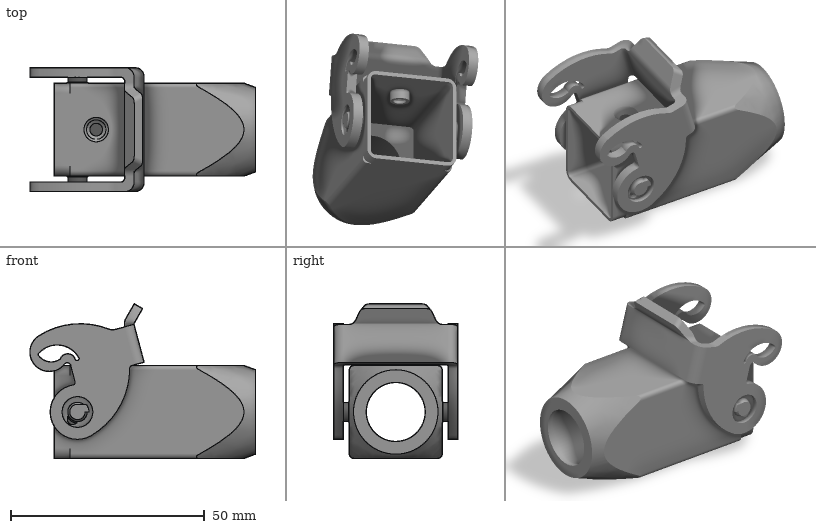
import cadquery as cq
import math


hood_size = 24.0
hood_length = 51.95
half = hood_size / 2
edge_radius = 1.2
mouth_length = 4.0
mouth_corner_radius = 2.5
wall = 1.0
cavity_half = half - wall
cavity_depth = 34.95
cavity_corner_radius = 1.15
cable_hole_radius = 7.6
nose_end_radius = 10.9
nose_angle = math.radians(20)
nose_start_radius = 17.5

screw_x = 10.85
screw_boss_radius = 2.5
screw_boss_drop = 2.5
screw_hole_radius = 1.65
countersink_radius = 3.15

pivot = (6.0, 0.0)
pivot_radius = 2.5
pivot_tip_radius = 2.0
collar_radius = 2.85
collar_height = 0.25
recess_radius = 3.95
recess_depth = 1.3
key_radius = 3.0
key_height = 1.9
clearance_offset = (-1.3, -1.9)
clearance_radius = 1.35

lever_width = 32.0
plate = 2.5
lever_half = lever_width / 2
lever_inner = lever_half - plate
lean = math.radians(15)
along = (math.cos(lean), math.sin(lean))
up = (-math.sin(lean), math.cos(lean))
cross_top = (18.2, 21.95)
cross_height = 10.15
inner_bend_radius = 1.1
outer_bend_radius = 2.45
arm_overlap = 1.75
eye_radius = 7.05
sweep_radius = 20.0
back_x = 19.45
tip_center = (-1.3, 15.45)
tip_radius = 5.0
top_center_x = 6.75
saddle_radius = 3.05
throat_point = (4.8, 10.1)
throat_radius = 0.95
throat_foot_radius = 0.7
back_ledge = 0.75

slot_left_top = (-3.9, 15.2)
slot_crest = (0.65, 17.25)
slot_end_top = (6.4, 13.85)
slot_end = (6.1, 13.35)
slot_end_bottom = (5.5, 13.45)
slot_hump = (3.45, 15.05)
slot_belly_start = (1.6, 13.7)
slot_belly = (-0.7, 12.95)
slot_left_bottom = (-3.9, 14.45)
slot_left = (-4.1, 14.85)

tab_lean = math.radians(30)
tab_dir = (math.sin(tab_lean), math.cos(tab_lean))
tab_out = (math.cos(tab_lean), -math.sin(tab_lean))
tab_bend_radius = 2.85
tab_length = 4.35
tab_foot_half = 10.9
tab_flank_lean = math.radians(30)
tab_foot_radius = 2.05
tab_corner_radius = 1.5


def shift(point, direction, distance):
    """Point moved by a distance along a unit direction."""
    return (point[0] + distance * direction[0], point[1] + distance * direction[1])


def unit(start, end):
    """Unit direction from start to end."""
    length = math.dist(start, end)
    return ((end[0] - start[0]) / length, (end[1] - start[1]) / length)


def first_at_distance(start, direction, center, distance):
    """First point past start along direction, lying at the distance from center."""
    offset = (start[0] - center[0], start[1] - center[1])
    b = offset[0] * direction[0] + offset[1] * direction[1]
    c = offset[0] ** 2 + offset[1] ** 2 - distance ** 2
    root = math.sqrt(b ** 2 - c)
    return shift(start, direction, min(t for t in (-b - root, -b + root) if t > 0))


def reverse(direction):
    """Opposite direction."""
    return (-direction[0], -direction[1])


def arc_middle(center, radius, start, end):
    """Middle of the shorter arc from start to end around center."""
    halfway = ((start[0] + end[0]) / 2, (start[1] + end[1]) / 2)
    return shift(center, unit(center, halfway), radius)


def x_box(x_start, length, half_size, corner):
    """Square bar along X with rounded long edges."""
    bar = cq.Workplane("YZ", origin=(x_start, 0, 0)).rect(2 * half_size, 2 * half_size).extrude(length)
    return bar.edges("|X").fillet(corner)


def make_hood():
    """Hollow square hood with a conical nose, a cable hole and a screw boss."""
    hood = x_box(0, mouth_length, half, mouth_corner_radius)
    hood = hood.union(x_box(mouth_length, hood_length - mouth_length, half, edge_radius))

    nose_start_x = hood_length - (nose_start_radius - nose_end_radius) / math.tan(nose_angle)
    envelope = (
        cq.Workplane("XZ")
        .polyline([(0, 0), (0, nose_start_radius), (nose_start_x, nose_start_radius),
                   (hood_length, nose_end_radius), (hood_length, 0)])
        .close()
        .revolve(360, (0, 0, 0), (1, 0, 0))
    )
    hood = hood.intersect(envelope)
    hood = hood.cut(x_box(0, cavity_depth, cavity_half, cavity_corner_radius))
    hood = hood.cut(cq.Workplane("YZ").circle(cable_hole_radius).extrude(hood_length))

    boss_bottom = cavity_half - screw_boss_drop
    boss = cq.Workplane("XY", origin=(screw_x, 0, boss_bottom)).circle(screw_boss_radius)
    hood = hood.union(boss.extrude(half - wall / 2 - boss_bottom))
    sink_depth = countersink_radius - screw_hole_radius
    screw_cut = (
        cq.Workplane("XZ", origin=(screw_x, 0, 0))
        .polyline([(0, 0), (screw_hole_radius, 0), (screw_hole_radius, half - sink_depth),
                   (countersink_radius, half), (0, half)])
        .close()
        .revolve(360, (0, 0, 0), (0, 1, 0))
    )
    return hood.cut(screw_cut)


def side_outline():
    """Closed outline of a lever side plate in the XZ plane."""
    back_reach = sweep_radius - eye_radius
    back_center_x = back_x - sweep_radius
    back_center = (back_center_x, math.sqrt(back_reach ** 2 - (back_center_x - pivot[0]) ** 2))
    back_start = shift(back_center, unit(back_center, pivot), sweep_radius)
    back_end = (back_x, back_center[1])
    cross_bottom = shift(cross_top, up, -cross_height)

    tip_reach = sweep_radius - tip_radius
    top_center = (
        top_center_x,
        tip_center[1] - math.sqrt(tip_reach ** 2 - (top_center_x - tip_center[0]) ** 2),
    )
    saddle_center = first_at_distance(
        shift(cross_top, up, saddle_radius), reverse(along), top_center, sweep_radius + saddle_radius)
    saddle_start = shift(saddle_center, up, -saddle_radius)
    saddle_end = shift(top_center, unit(top_center, saddle_center), sweep_radius)
    tip_start = shift(top_center, unit(top_center, tip_center), sweep_radius)

    throat_center = first_at_distance(
        shift(throat_point, along, -throat_radius), up, tip_center, tip_radius + throat_radius)
    throat_start = shift(tip_center, unit(tip_center, throat_center), tip_radius)
    throat_end = shift(throat_center, along, throat_radius)
    foot_center = first_at_distance(
        shift(throat_point, along, -throat_foot_radius), reverse(up), pivot, eye_radius + throat_foot_radius)
    foot_start = shift(foot_center, along, throat_foot_radius)
    foot_end = shift(pivot, unit(pivot, foot_center), eye_radius)

    return (
        cq.Workplane("XZ")
        .moveTo(*back_start)
        .threePointArc(arc_middle(back_center, sweep_radius, back_start, back_end), back_end)
        .tangentArcPoint(shift(cross_bottom, along, -back_ledge), relative=False)
        .lineTo(*cross_bottom)
        .lineTo(*cross_top)
        .lineTo(*saddle_start)
        .threePointArc(arc_middle(saddle_center, saddle_radius, saddle_start, saddle_end), saddle_end)
        .threePointArc(arc_middle(top_center, sweep_radius, saddle_end, tip_start), tip_start)
        .threePointArc((tip_center[0] - tip_radius, tip_center[1]), throat_start)
        .threePointArc(arc_middle(throat_center, throat_radius, throat_start, throat_end), throat_end)
        .lineTo(*foot_start)
        .threePointArc(arc_middle(foot_center, throat_foot_radius, foot_start, foot_end), foot_end)
        .threePointArc((pivot[0] - eye_radius, pivot[1]), back_start)
        .close()
    )


def slot_outline():
    """Curved spring slot that follows the tip of the lever and curls over the throat."""
    return (
        cq.Workplane("XZ")
        .moveTo(*slot_left_top)
        .threePointArc(slot_crest, slot_end_top)
        .threePointArc(slot_end, slot_end_bottom)
        .threePointArc(slot_hump, slot_belly_start)
        .threePointArc(slot_belly, slot_left_bottom)
        .threePointArc(slot_left, slot_left_top)
        .close()
    )


def pivot_plane(y):
    """Plane facing -Y, centred on the pivot."""
    return cq.Workplane("XZ", origin=(pivot[0], y, pivot[1]))


def pivot_disc(y, radius, depth):
    """Disc on the pivot axis from y toward -Y."""
    return pivot_plane(y).circle(radius).extrude(depth)


def make_side():
    """Side plate at -Y with its pivot, reaching into the hood wall."""
    floor_y = recess_depth - lever_half
    side = side_outline().extrude(plate).translate((0, -lever_inner, 0))
    side = side.cut(slot_outline().extrude(lever_half))
    side = side.cut(pivot_disc(floor_y, recess_radius, recess_depth))
    clearance = pivot_disc(-lever_inner, clearance_radius, plate)
    side = side.cut(clearance.translate((clearance_offset[0], 0, clearance_offset[1])))

    shank_start_y = -half + wall / 2
    side = side.union(pivot_disc(shank_start_y, pivot_radius, lever_half - recess_depth + shank_start_y))
    collar = pivot_plane(-half).circle(collar_radius).workplane(offset=collar_height).circle(pivot_radius)
    side = side.union(collar.loft())

    tip = pivot_plane(floor_y).circle(pivot_radius).workplane(offset=recess_depth).circle(pivot_tip_radius)
    side = side.union(tip.loft())
    key_block = pivot_plane(floor_y).rect(key_radius, key_height, centered=False).extrude(recess_depth)
    key = pivot_disc(floor_y, key_radius, recess_depth).intersect(key_block)
    return side.union(key)


def make_cross_plate():
    """Leaning plate that joins both sides, with its two rounded bends."""
    block = (
        cq.Workplane("XY")
        .box(plate + arm_overlap, lever_width, cross_height, centered=(False, True, False))
        .translate((-arm_overlap, 0, 0))
        .edges("|Z and >X")
        .fillet(outer_bend_radius)
    )
    gap = (
        cq.Workplane("XY")
        .box(2 * arm_overlap, 2 * lever_inner, cross_height, centered=(False, True, False))
        .translate((-2 * arm_overlap, 0, 0))
        .edges("|Z and >X")
        .fillet(inner_bend_radius)
    )
    cross_bottom = shift(cross_top, up, -cross_height)
    return (
        block.cut(gap)
        .rotate((0, 0, 0), (0, 1, 0), -math.degrees(lean))
        .translate((cross_bottom[0], 0, cross_bottom[1]))
    )


def make_tab():
    """Finger tab bent outward from the top of the cross plate."""
    bend_center = shift(cross_top, along, tab_bend_radius)
    bend_end = shift(bend_center, tab_out, -tab_bend_radius)
    back_radius = tab_bend_radius - plate
    back_top = shift(cross_top, along, plate)
    back_bend_end = shift(bend_end, tab_out, plate)
    tip = shift(bend_end, tab_dir, tab_length)
    strip = (
        cq.Workplane("XZ")
        .moveTo(*cross_top)
        .threePointArc(arc_middle(bend_center, tab_bend_radius, cross_top, bend_end), bend_end)
        .lineTo(*tip)
        .lineTo(*shift(tip, tab_out, plate))
        .lineTo(*back_bend_end)
        .threePointArc(arc_middle(bend_center, back_radius, back_bend_end, back_top), back_top)
        .close()
        .extrude(lever_inner, both=True)
    )
    plane = cq.Plane(
        origin=(cross_top[0], 0, cross_top[1]),
        xDir=(0, 1, 0),
        normal=(along[0], 0, along[1]),
    )
    flank = (-math.sin(tab_flank_lean), math.cos(tab_flank_lean))
    flank_top = shift((tab_foot_half, 0), flank, 2 * tab_length)
    foot_tangent = tab_foot_radius * math.tan(math.pi / 4 - tab_flank_lean / 2)
    foot_start = (tab_foot_half + foot_tangent, 0)
    foot_end = shift((tab_foot_half, 0), flank, foot_tangent)
    foot_middle = arc_middle((foot_start[0], tab_foot_radius), tab_foot_radius, foot_start, foot_end)
    half_outline = (
        cq.Workplane(plane)
        .moveTo(*foot_start)
        .threePointArc(foot_middle, foot_end)
        .lineTo(*flank_top)
        .lineTo(0, flank_top[1])
        .lineTo(0, 0)
        .close()
        .extrude(2 * tab_length, both=True)
    )
    tab = strip.intersect(half_outline.union(half_outline.mirror("XZ")))
    tip_face = tab.faces(cq.selectors.DirectionMinMaxSelector(cq.Vector(tab_dir[0], 0, tab_dir[1])))
    return tip_face.edges("not |Y").fillet(tab_corner_radius)


near_side = make_side()
lever = make_cross_plate().union(make_tab()).union(near_side).union(near_side.mirror("XZ"))
result = make_hood().union(lever)